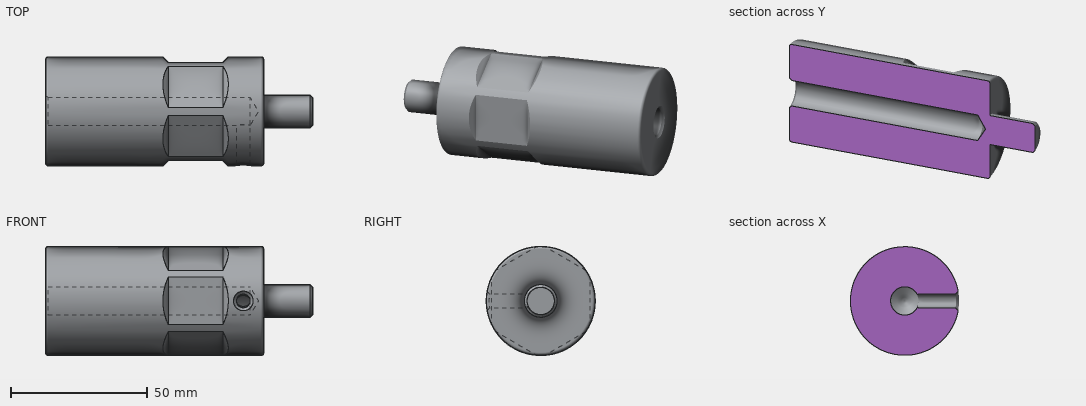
import cadquery as cq
import math

body_length = 80.0
body_diameter = 40.0
body_edge_radius = 1.0

stud_length = 18.0
stud_diameter = 12.0
stud_chamfer = 1.0

bore_diameter = 10.2
bore_depth = 75.0
bore_mouth_diameter = 12.0

side_hole_diameter = 5.0
side_hole_depth = 15.0
side_hole_chamfer = 1.1
side_hole_from_front = 72.5

drill_point_angle = 118.0

flat_count = 6
width_across_flats = 36.0
flat_start = 45.0
flat_length = 20.0

body_radius = body_diameter / 2


def make_body():
    """Round bar with both end edges rounded."""
    bar = cq.Workplane("YZ").circle(body_radius).extrude(body_length)
    return bar.faces("<X or >X").edges().fillet(body_edge_radius)


def make_stud():
    """Plain stud with a chamfered tip, standing on the rear face."""
    stud = cq.Workplane("YZ", origin=(body_length, 0, 0)).circle(stud_diameter / 2).extrude(stud_length)
    return stud.faces(">X").edges().chamfer(stud_chamfer)


def make_drilled_hole(diameter, depth):
    """Hole volume along +X from the origin: straight wall ending in a drill point."""
    radius = diameter / 2
    point_length = radius / math.tan(math.radians(drill_point_angle / 2))
    return (
        cq.Workplane("XY")
        .lineTo(0, radius)
        .lineTo(depth, radius)
        .lineTo(depth + point_length, 0)
        .close()
        .revolve(360, (0, 0, 0), (1, 0, 0))
    )


def cut_bore(part):
    """Drill the axial bore and chamfer its mouth."""
    drilled = part.cut(make_drilled_hole(bore_diameter, bore_depth))
    mouth_edge = drilled.faces("<X").edges(cq.selectors.RadiusNthSelector(0))
    return mouth_edge.chamfer((bore_mouth_diameter - bore_diameter) / 2)


def cut_side_hole(part):
    """Drill the radial hole from the -Y side and chamfer along its curved mouth edge."""
    hole = make_drilled_hole(side_hole_diameter, side_hole_depth)
    hole = hole.rotate((0, 0, 0), (0, 0, 1), 90).translate((side_hole_from_front, -body_radius, 0))
    mouth_box = cq.selectors.BoxSelector(
        (side_hole_from_front - side_hole_diameter, -body_radius - side_hole_chamfer, -side_hole_diameter),
        (side_hole_from_front + side_hole_diameter, -body_radius + side_hole_chamfer, side_hole_diameter),
        boundingbox=True,
    )
    return part.cut(hole).edges(mouth_box).chamfer(side_hole_chamfer)


def make_flat_cut():
    """Trapezoidal volume that cuts the wrench flat on the -Y side."""
    flat_distance = width_across_flats / 2
    run_out = body_radius - flat_distance
    flat_end = flat_start + flat_length
    return (
        cq.Workplane("XY")
        .moveTo(flat_start, -flat_distance)
        .lineTo(flat_end, -flat_distance)
        .lineTo(flat_end + run_out, -body_radius)
        .lineTo(flat_start - run_out, -body_radius)
        .close()
        .extrude(body_radius, both=True)
    )


result = make_body().union(make_stud())
result = cut_bore(result)
result = cut_side_hole(result)

flat_cut = make_flat_cut()
for index in range(flat_count):
    angle = index * 360 / flat_count
    result = result.cut(flat_cut.rotate((0, 0, 0), (1, 0, 0), angle))